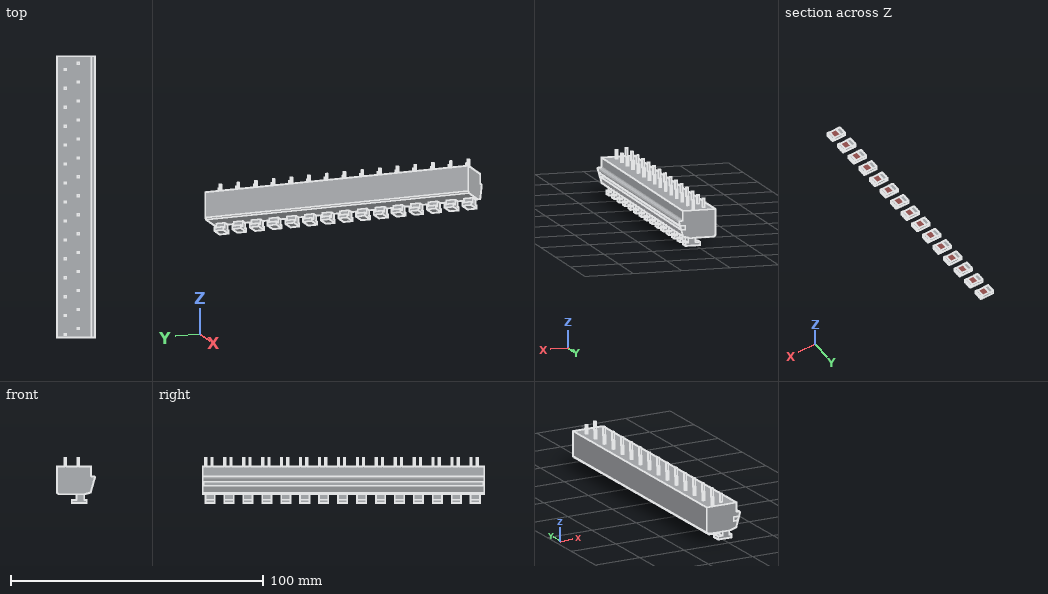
import cadquery as cq

foot_thickness = 1.3
body_bottom = 3.5
body_height = 11.2
pin_height = 3.5
body_top = body_bottom + body_height

body_length = 111.5
body_depth = 13.5
lip_reach = 15.0
lip_drop = 4.0
slope_end_x = 13.4
slope_end_rise = 0.8
flat_end_x = 10.8
bottom_chamfer = 0.7
lip_fillet = 0.3
lip_face_height = 0.5

pole_count = 15
pole_span = 105.0
pole_pitch = pole_span / (pole_count - 1)

pin_width = 0.8
pin_thickness = 0.7
pin_row_starts = [(3.3, 1.2), (8.4, 3.7)]

foot_first_y = 2.9
foot_length = 3.8
foot_left = 5.8
foot_width = 6.0
stem_left = 7.7
stem_width = 3.1

channel_left = 12.4
channel_bottom = 6.9
channel_height = 1.7
channel_end_wall = 0.5


def corner_box(x, y, z, width, length, height):
    """Box grown from its lowest corner."""
    return cq.Workplane("XY").box(width, length, height, centered=False).translate((x, y, z))


def along_poles(first_y):
    """Y of every pole, counted from the first one."""
    return [first_y + i * pole_pitch for i in range(pole_count)]


def round_edge(body, x, z, radius):
    """Fillet the lengthwise edge that passes through (x, z)."""
    middle = (x, body_length / 2, z)
    return body.edges(cq.selectors.NearestToPointSelector(middle)).fillet(radius)


def make_body():
    lip_top = body_top - lip_drop
    outline = [
        (bottom_chamfer, body_bottom),
        (flat_end_x, body_bottom),
        (slope_end_x, body_bottom + slope_end_rise),
        (lip_reach, lip_top - lip_face_height),
        (lip_reach, lip_top),
        (body_depth, lip_top),
        (body_depth, body_top),
        (0, body_top),
        (0, body_bottom + bottom_chamfer),
    ]
    body = cq.Workplane("XZ").polyline(outline).close().extrude(-body_length)
    body = round_edge(body, lip_reach, lip_top, lip_fillet)
    return round_edge(body, body_depth, lip_top, lip_fillet)


def make_channel():
    """Cutter that opens the sloped face between the end walls."""
    width = lip_reach - channel_left
    length = body_length - 2 * channel_end_wall
    return corner_box(channel_left, channel_end_wall, channel_bottom, width, length, channel_height)


def make_foot(center_y):
    start_y = center_y - foot_length / 2
    foot = corner_box(foot_left, start_y, 0, foot_width, foot_length, foot_thickness)
    stem = corner_box(stem_left, start_y, 0, stem_width, foot_length, body_bottom)
    return foot.union(stem)


def make_pin(center_x, center_y):
    start_x = center_x - pin_width / 2
    start_y = center_y - pin_thickness / 2
    return corner_box(start_x, start_y, body_top, pin_width, pin_thickness, pin_height)


result = make_body()

for y in along_poles(foot_first_y):
    result = result.union(make_foot(y))

for row_x, first_y in pin_row_starts:
    for y in along_poles(first_y):
        result = result.union(make_pin(row_x, y))

result = result.cut(make_channel())